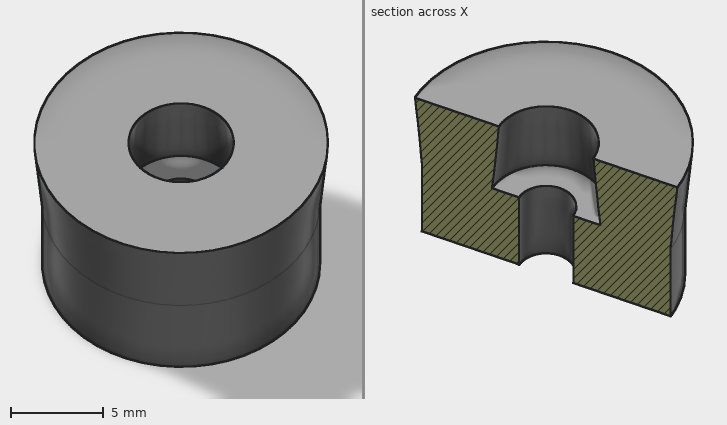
import cadquery as cq
import math

body_diameter = 15.0
cylinder_height = 5.0
flare_height = 4.75
taper_angle = 5.0
hole_diameter = 3.25
socket_floor_diameter = 6.5

total_height = cylinder_height + flare_height
taper_growth = flare_height * math.tan(math.radians(taper_angle))
body_radius = body_diameter / 2
rim_radius = body_radius + taper_growth
hole_radius = hole_diameter / 2
socket_floor_radius = socket_floor_diameter / 2
socket_mouth_radius = socket_floor_radius - taper_growth


def make_body():
    """Straight cylinder whose upper part flares out towards the rim."""
    cylinder = cq.Workplane("XY").circle(body_radius).extrude(cylinder_height)
    flare = make_cone(body_radius, rim_radius)
    return cylinder.union(flare)


def make_cone(lower_radius, upper_radius):
    """Cone frustum filling the height between the cylinder and the rim."""
    return cq.Workplane(
        cq.Solid.makeCone(
            lower_radius,
            upper_radius,
            flare_height,
            pnt=cq.Vector(0, 0, cylinder_height),
        )
    )


def make_bore():
    """Through hole opening into a socket that is narrower at its mouth than at its floor."""
    hole = cq.Workplane("XY").circle(hole_radius).extrude(total_height)
    socket = make_cone(socket_floor_radius, socket_mouth_radius)
    return hole.union(socket)


result = make_body().cut(make_bore())